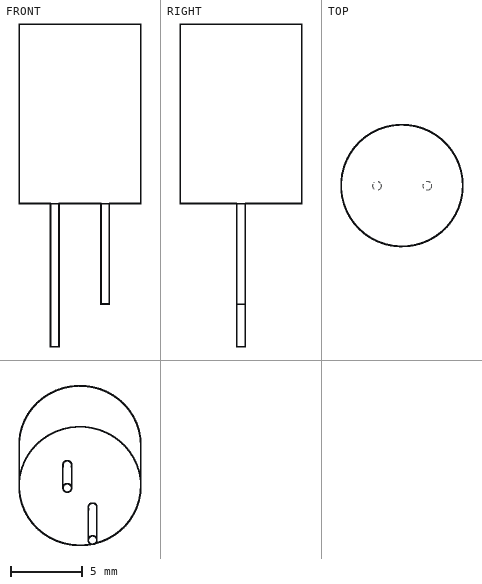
import cadquery as cq

total_height = 22.5
can_diameter = 8.5
long_lead_length = 10.0
can_height = total_height - long_lead_length
short_lead_length = 7.0
lead_diameter = 0.6
lead_spacing = 3.5


def make_can():
    """Plain cylinder standing on the plane Z = 0."""
    return cq.Workplane("XY").circle(can_diameter / 2).extrude(can_height)


def make_lead(x_position, length):
    """Round lead hanging down from the underside of the can."""
    return cq.Workplane("XY").center(x_position, 0).circle(lead_diameter / 2).extrude(-length)


can = make_can()

lead_layout = [
    (-lead_spacing / 2, long_lead_length),
    (lead_spacing / 2, short_lead_length),
]
leads = [make_lead(x_position, length).val() for x_position, length in lead_layout]

result = cq.Compound.makeCompound([can.val(), *leads])